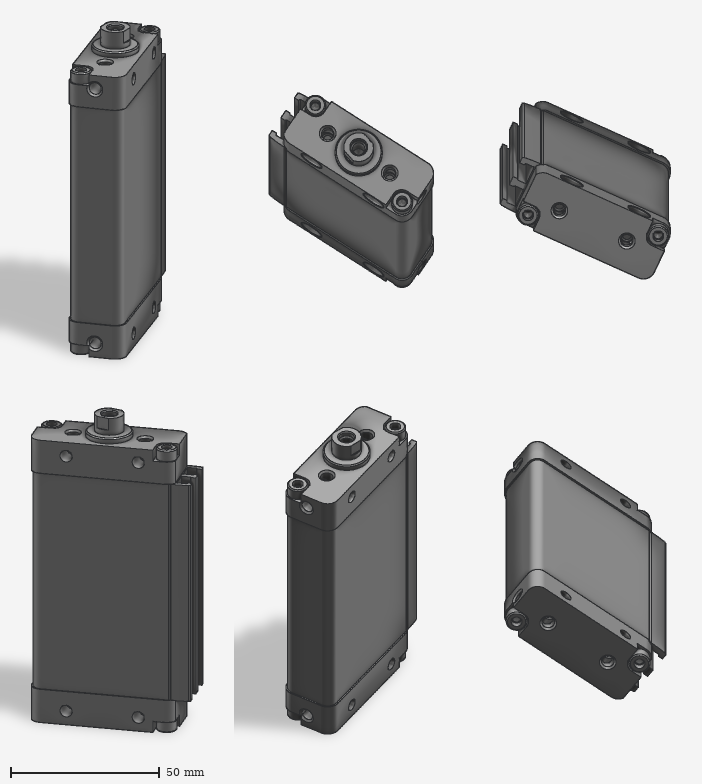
import cadquery as cq
import math

half_width = 10.0
front_reach = 25.5
back_reach = 25.0
corner_radius = 4.1
corner_x = half_width - corner_radius
corner_y = front_reach - corner_radius

cap_height = 12.0
collar_height = 2.0
rod_exposed = 6.0
rod_top = 110
cap_top = rod_top - rod_exposed - collar_height
tube_height = cap_top - 2 * cap_height

tube_inset = 0.5
tube_half_width = half_width - tube_inset
tube_front = front_reach - tube_inset
tube_corner_radius = corner_radius - tube_inset
rail_top = 30.5
rail_floor = 25.4
rail_taper_end = 29.8
rail_shoulder_x = 9.1
rail_crest_x = 8.8
rail_side_radius = 52.8
lip_edge = 28.8
lip_root = 28.5
lip_x = 6.8
slot_wall_x = 7.5
web_half_width = 1.1
web_head_half_width = 1.5
groove_low = 22.9
groove_high = 23.9
groove_depth = 0.4

screw_recess_depth = 4.0
screw_recess_reach = 3.8
screw_recess_corner = 3.3
screw_head_diameter = 7.0
screw_head_chamfer = 0.4
socket_diameter = 3.6
socket_depth = 2.5
socket_floor_diameter = 3.0

port_offset = 12.5
port_axis_depth = 5.0
port_mouth = 5.6
port_diameter = 4.2
port_floor_diameter = 3.0
port_depth = 8.0
mount_mouth = 8.5
mount_bore = 8.0
mount_bore_depth = 4.0
mount_hole_mouth = 5.0
mount_hole = 4.2

collar_diameter = 16.0
collar_chamfer = 0.4
rod_diameter = 10.0
flat_spacing = 9.0
flat_height = 4.2
flat_turn = 15
thread_mouth = 6.0
thread_relief = 5.3
thread_relief_depth = 1.8
thread_core = 4.2
thread_depth = 10.0
drill_point_slope = math.tan(math.radians(30))


def turned(profile, height):
    """Solid turned about Z from (radius, depth) points, with depth measured down from height."""
    points = [(radius, height - depth) for radius, depth in profile]
    return (
        cq.Workplane("XZ")
        .moveTo(0, points[0][1])
        .polyline(points, includeCurrent=True)
        .close()
        .revolve(360, (0, 0, 0), (0, 1, 0))
    )


def drill_tip(diameter, depth):
    """Apex of the conical end of a drilled hole."""
    return (0, depth + diameter / 2 * drill_point_slope)


def chamfered_hole(mouth, diameter, depth):
    """Profile of a flat hole with a 45 degree chamfer at its mouth."""
    return [
        (mouth / 2, 0),
        (diameter / 2, (mouth - diameter) / 2),
        (diameter / 2, depth),
        (0, depth),
    ]


def screw_recess():
    """Corner pocket around one screw head, rounded on its inner corner."""
    side = screw_recess_reach + corner_radius
    return (
        cq.Workplane("XY")
        .box(side, side, screw_recess_depth, centered=False)
        .edges("|Z and <X and <Y")
        .fillet(screw_recess_corner)
        .translate(
            (
                corner_x - screw_recess_reach,
                corner_y - screw_recess_reach,
                cap_height - screw_recess_depth,
            )
        )
    )


def screw_head():
    """Head of one cap screw, flush with the outer end of the cap."""
    head = (
        cq.Workplane("XY", origin=(0, 0, cap_height - screw_recess_depth))
        .circle(screw_head_diameter / 2)
        .extrude(screw_recess_depth)
        .faces(">Z")
        .chamfer(screw_head_chamfer)
    )
    socket = turned(
        [
            (socket_diameter / 2, 0),
            (socket_diameter / 2, socket_depth),
            (socket_floor_diameter / 2, socket_depth),
            drill_tip(socket_floor_diameter, socket_depth),
        ],
        cap_height,
    )
    return head.cut(socket).translate((corner_x, corner_y, 0))


def end_port():
    """Port in the outer end of the cap, with a conical step down to a small flat floor."""
    cone_depth = (port_diameter - port_floor_diameter) / 2 * drill_point_slope
    profile = chamfered_hole(port_mouth, port_diameter, port_depth)[:-1]
    profile += [
        (port_floor_diameter / 2, port_depth + cone_depth),
        (0, port_depth + cone_depth),
    ]
    return turned(profile, cap_height)


def front_port():
    """Port in the -Y side of the cap that runs in to the mounting hole."""
    return (
        turned(chamfered_hole(port_mouth, port_diameter, front_reach - port_offset), 0)
        .rotate((0, 0, 0), (1, 0, 0), 90)
        .translate((0, -front_reach, cap_height - port_axis_depth))
    )


def mounting_hole():
    """Through hole along X, counterbored on the -X side."""
    counterbore = chamfered_hole(mount_mouth, mount_bore, mount_bore_depth)[:-1]
    through = chamfered_hole(mount_hole_mouth, mount_hole, 2 * half_width - mount_bore_depth)
    through = [(radius, mount_bore_depth + depth) for radius, depth in through]
    return (
        turned(counterbore + through, 0)
        .rotate((0, 0, 0), (0, 1, 0), -90)
        .translate((-half_width, 0, cap_height - port_axis_depth))
    )


def make_end_cap():
    """End cap with its outer end facing up and its inner end at Z = 0."""
    cap = (
        cq.Workplane("XY")
        .box(2 * half_width, 2 * front_reach, cap_height, centered=(True, True, False))
        .edges("|Z")
        .fillet(corner_radius)
    )
    back_trim = cq.Workplane("XY").box(
        2 * half_width, front_reach, cap_height, centered=(True, False, False)
    )
    cap = cap.cut(back_trim.translate((0, back_reach, 0)))
    for y in (-port_offset, port_offset):
        cap = cap.cut(end_port().translate((0, y, 0)))
        cap = cap.cut(mounting_hole().translate((0, y, 0)))
    cap = cap.cut(front_port())
    for turn in (0, 180):
        cap = cap.cut(screw_recess().rotate((0, 0, 0), (0, 0, 1), turn))
        cap = cap.union(screw_head().rotate((0, 0, 0), (0, 0, 1), turn))
    return cap


def make_bottom_cap():
    return make_end_cap().mirror("XY").translate((0, 0, cap_height))


def make_top_cap():
    """End cap with the collar and the bore for the rod."""
    collar = (
        cq.Workplane("XY", origin=(0, 0, cap_height))
        .circle(collar_diameter / 2)
        .extrude(collar_height)
        .faces(">Z")
        .chamfer(collar_chamfer)
    )
    bore = cq.Workplane("XY").circle(rod_diameter / 2).extrude(cap_height + collar_height)
    return make_end_cap().union(collar).cut(bore).translate((0, 0, cap_top - cap_height))


def make_tube():
    """Extruded tube section with two sensor slots along its +Y side."""
    groove_middle = (groove_low + groove_high) / 2
    half_section = (
        cq.Workplane("XY", origin=(0, 0, cap_height))
        .moveTo(0, -tube_front)
        .lineTo(tube_half_width - tube_corner_radius, -tube_front)
        .radiusArc((tube_half_width, tube_corner_radius - tube_front), -tube_corner_radius)
        .lineTo(tube_half_width, groove_low)
        .lineTo(tube_half_width - groove_depth, groove_middle)
        .lineTo(tube_half_width, groove_high)
        .radiusArc((rail_shoulder_x, rail_taper_end), -rail_side_radius)
        .lineTo(rail_crest_x, rail_top)
        .lineTo(lip_x, rail_top)
        .lineTo(lip_x, lip_edge)
        .lineTo(slot_wall_x, lip_root)
        .lineTo(slot_wall_x, rail_floor)
        .lineTo(web_half_width, rail_floor)
        .lineTo(web_half_width, lip_root)
        .lineTo(web_head_half_width, lip_edge)
        .lineTo(web_head_half_width, rail_top)
        .lineTo(0, rail_top)
        .close()
        .extrude(tube_height)
    )
    return half_section.union(half_section.mirror("YZ"))


def make_rod():
    """Piston rod with two wrench flats and a threaded hole in its end."""
    rod = (
        cq.Workplane("XY", origin=(0, 0, cap_top - cap_height))
        .circle(rod_diameter / 2)
        .extrude(rod_top - cap_top + cap_height)
    )
    flat_cutter = cq.Workplane("XY").box(
        rod_diameter, 2 * rod_diameter, flat_height, centered=(False, True, False)
    )
    flat_cutter = flat_cutter.translate((flat_spacing / 2, 0, rod_top - flat_height))
    for turn in (-flat_turn, 180 - flat_turn):
        rod = rod.cut(flat_cutter.rotate((0, 0, 0), (0, 0, 1), turn))
    thread_hole = turned(
        [
            (thread_mouth / 2, 0),
            (thread_relief / 2, (thread_mouth - thread_relief) / 2),
            (thread_relief / 2, thread_relief_depth),
            (thread_core / 2, thread_relief_depth + (thread_relief - thread_core) / 2),
            (thread_core / 2, thread_depth),
            drill_tip(thread_core, thread_depth),
        ],
        rod_top,
    )
    return rod.cut(thread_hole)


bottom_cap = make_bottom_cap()
tube = make_tube()
top_cap = make_top_cap()
rod = make_rod()

result = cq.Compound.makeCompound([bottom_cap.val(), tube.val(), top_cap.val(), rod.val()])